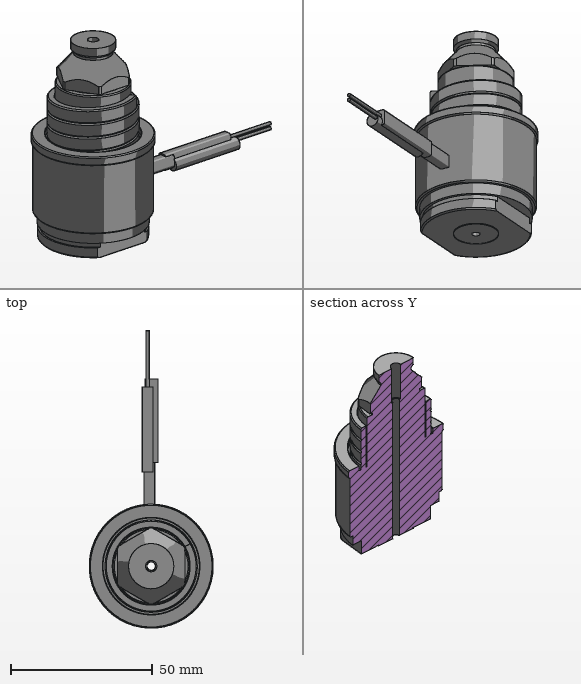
import cadquery as cq
import math

BOSS_DIA = 16.0
BOSS_HEIGHT = 0.3
FOOT_DIA = 39.5
FOOT_TOP_Z = 4.3
FOOT_CHAMFER = 0.5
FLATS_WIDTH = 32.0
NECK_DIA = 38.0
STEP_BOTTOM_Z = 6.2
STEP_DIA = 40.0
BARREL_BOTTOM_Z = 10.3
BARREL_DIA = 42.9
BARREL_CHAMFER = 0.5
FLANGE_DIA = 44.0
FLANGE_BOTTOM_Z = 37.3
FLANGE_TOP_Z = 40.3
FLANGE_CHAMFER = 0.4
RECESS_DIA = 34.2
RECESS_DEPTH = 2.1
RECESS_FLOOR_Z = FLANGE_TOP_Z - RECESS_DEPTH
RECESS_CHAMFER = 0.2

CORE_DIA = 27.0
COLLAR_TOP_Z = 60.2
COLLAR_CHAMFER = 0.4

SPRING_DIA = 32.7
SPRING_CLEARANCE = 0.3
SPRING_BORE_DIA = CORE_DIA + 2 * SPRING_CLEARANCE
PITCH = 5.3
SPRING_END_ANGLE = 30.0
SPRING_END_Z = 57.1
COIL_GROOVE_WIDTH = 1.1
COIL_GROOVE_DEPTH = 0.4
CUTTER_MARGIN = 1.1

WASHER_DIA = 22.2
HEX_BOTTOM_Z = 60.9
HEX_FLATS_WIDTH = 24.0
HEX_CORNER_DIA = 27.0
HEX_CORNER_TOP_Z = 63.8
CONE_TOP_Z = 71.3
CAP_NECK_DIA = 14.1
CAP_NECK_TOP_Z = 72.3
HEAD_DIA = 16.0
HEAD_BOTTOM_Z = 73.2
TOTAL_HEIGHT = 76.3

CAP_BORE_DIA = 4.0
BODY_BORE_DIA = 3.0

TOTAL_LENGTH = 105.5
CABLE_EMBED_DEPTH = 1.1
CABLE_WIDTH = 3.9
CABLE_HEIGHT = 5.0
CABLE_X = -0.6
CABLE_Z = 19.4
CABLE_LEFT_FILLET = 0.4
CABLE_RIGHT_FILLET = 1.0
SLEEVE_WIDTH = 3.9
SLEEVE_HEIGHT = 6.0
SLEEVE_X = -1.3
SLEEVE_FILLET = 1.0
SLEEVE_START_Y = 33.3
SLEEVE_END_Y = 63.5
TUBE_DIA = 4.7
TUBE_X = 0.1
TUBE_Z = 17.8
TUBE_START_Y = 36.7
TUBE_END_Y = 66.4
WIRE_DIA = 1.3
WIRE_X = -1.3
WIRE_HEIGHTS = (18.4, 20.3)
WIRE_END_Y = TOTAL_LENGTH - FLANGE_DIA / 2


def disc(diameter, bottom_z, top_z):
    """Cylinder on the main axis between two heights."""
    return cq.Workplane("XY", origin=(0, 0, bottom_z)).circle(diameter / 2).extrude(top_z - bottom_z)


def bar_along_y(section, start_y, end_y):
    """Extrude a section function along +Y; the section is drawn on the XZ plane."""
    plane = cq.Workplane("XZ", origin=(0, start_y, 0))
    return section(plane).extrude(start_y - end_y)


def make_housing():
    foot = disc(FOOT_DIA, BOSS_HEIGHT, FOOT_TOP_Z).faces("<Z").chamfer(FOOT_CHAMFER)
    base = foot.union(disc(NECK_DIA, FOOT_TOP_Z, STEP_BOTTOM_Z))
    base = base.intersect(cq.Workplane("XY").box(FLATS_WIDTH, 2 * FOOT_DIA, 2 * STEP_BOTTOM_Z))

    barrel = disc(BARREL_DIA, BARREL_BOTTOM_Z, FLANGE_BOTTOM_Z).faces("<Z").chamfer(BARREL_CHAMFER)
    flange = disc(FLANGE_DIA, FLANGE_BOTTOM_Z, FLANGE_TOP_Z).faces(">Z").chamfer(FLANGE_CHAMFER)
    overhang = (FLANGE_DIA - BARREL_DIA) / 2
    taper = cq.Workplane(cq.Solid.makeCone(
        BARREL_DIA / 2, FLANGE_DIA / 2, overhang, cq.Vector(0, 0, FLANGE_BOTTOM_Z - overhang)))

    housing = disc(BOSS_DIA, 0, BOSS_HEIGHT).union(base)
    housing = housing.union(disc(STEP_DIA, STEP_BOTTOM_Z, BARREL_BOTTOM_Z))
    housing = housing.union(barrel).union(taper).union(flange)
    recess = disc(RECESS_DIA, RECESS_FLOOR_Z, FLANGE_TOP_Z)
    recess_mouth = cq.Workplane(cq.Solid.makeCone(
        RECESS_DIA / 2, RECESS_DIA / 2 + RECESS_CHAMFER, RECESS_CHAMFER,
        cq.Vector(0, 0, FLANGE_TOP_Z - RECESS_CHAMFER)))
    return housing.cut(recess).cut(recess_mouth)


def helical_cutter(profile, turns, start_z, start_angle):
    """Sweep a closed (radius, height) profile along a right-handed helix."""
    helix = cq.Workplane(cq.Wire.makeHelix(PITCH, PITCH * turns, SPRING_DIA / 2))
    cutter = cq.Workplane("XZ").polyline(profile).close().sweep(helix, isFrenet=True)
    return cutter.rotate((0, 0, 0), (0, 0, 1), start_angle).translate((0, 0, start_z))


def make_stem():
    core = disc(CORE_DIA, RECESS_FLOOR_Z, COLLAR_TOP_Z)
    return core.faces(">Z").chamfer(COLLAR_CHAMFER)


def make_spring():
    spring = disc(SPRING_DIA, RECESS_FLOOR_Z, SPRING_END_Z)
    spring = spring.cut(disc(SPRING_BORE_DIA, RECESS_FLOOR_Z, SPRING_END_Z))

    inner = SPRING_BORE_DIA / 2 - CUTTER_MARGIN
    outer = SPRING_DIA / 2 + CUTTER_MARGIN
    ramp_profile = [(inner, 0), (outer, 0), (outer, PITCH), (inner, PITCH)]
    for half_turn in range(2):
        half_z = SPRING_END_Z - PITCH + half_turn * PITCH / 2
        half_angle = SPRING_END_ANGLE + 180 * half_turn
        spring = spring.cut(helical_cutter(ramp_profile, 0.5, half_z, half_angle))

    root = SPRING_DIA / 2 - COIL_GROOVE_DEPTH
    rim = SPRING_DIA / 2 + COIL_GROOVE_DEPTH
    groove_profile = [(root, 0), (rim, COIL_GROOVE_WIDTH), (rim, -COIL_GROOVE_WIDTH)]
    turns = math.ceil((SPRING_END_Z - RECESS_FLOOR_Z) / PITCH)
    start_z = SPRING_END_Z - turns * PITCH
    return spring.cut(helical_cutter(groove_profile, turns, start_z, SPRING_END_ANGLE))


def make_cap():
    cone_profile = [
        (0, HEX_BOTTOM_Z),
        (HEX_CORNER_DIA / 2, HEX_BOTTOM_Z),
        (HEX_CORNER_DIA / 2, HEX_CORNER_TOP_Z),
        (CAP_NECK_DIA / 2, CONE_TOP_Z),
        (CAP_NECK_DIA / 2, CAP_NECK_TOP_Z),
        (HEAD_DIA / 2, HEAD_BOTTOM_Z),
        (HEAD_DIA / 2, TOTAL_HEIGHT),
        (0, TOTAL_HEIGHT),
    ]
    cap = cq.Workplane("XZ").polyline(cone_profile).close().revolve(360, (0, 0), (0, 1))
    hexagon = (
        cq.Workplane("XY", origin=(0, 0, HEX_BOTTOM_Z))
        .polygon(6, HEX_FLATS_WIDTH, circumscribed=True)
        .extrude(TOTAL_HEIGHT - HEX_BOTTOM_Z)
    )
    return cap.intersect(hexagon).union(disc(WASHER_DIA, COLLAR_TOP_Z, HEX_BOTTOM_Z))


def make_cable():
    barrel_inside_y = BARREL_DIA / 2 - CABLE_EMBED_DEPTH
    cable = bar_along_y(
        lambda plane: plane.center(CABLE_X, CABLE_Z).rect(CABLE_WIDTH, CABLE_HEIGHT),
        barrel_inside_y, TUBE_START_Y)
    cable = cable.edges("|Y and <X").fillet(CABLE_LEFT_FILLET)
    cable = cable.edges("|Y and >X").fillet(CABLE_RIGHT_FILLET)
    sleeve = bar_along_y(
        lambda plane: plane.center(SLEEVE_X, CABLE_Z).rect(SLEEVE_WIDTH, SLEEVE_HEIGHT),
        SLEEVE_START_Y, SLEEVE_END_Y).edges("|Y").fillet(SLEEVE_FILLET)
    tube = bar_along_y(
        lambda plane: plane.center(TUBE_X, TUBE_Z).circle(TUBE_DIA / 2),
        TUBE_START_Y, TUBE_END_Y)
    wires = bar_along_y(
        lambda plane: plane.pushPoints([(WIRE_X, z) for z in WIRE_HEIGHTS]).circle(WIRE_DIA / 2),
        TUBE_START_Y, WIRE_END_Y)
    return cable.union(sleeve).union(tube).union(wires)


result = make_housing().union(make_stem()).union(make_spring()).union(make_cap())
result = result.cut(disc(BODY_BORE_DIA, 0, HEX_BOTTOM_Z))
result = result.cut(disc(CAP_BORE_DIA, HEX_BOTTOM_Z, TOTAL_HEIGHT))
result = result.union(make_cable())